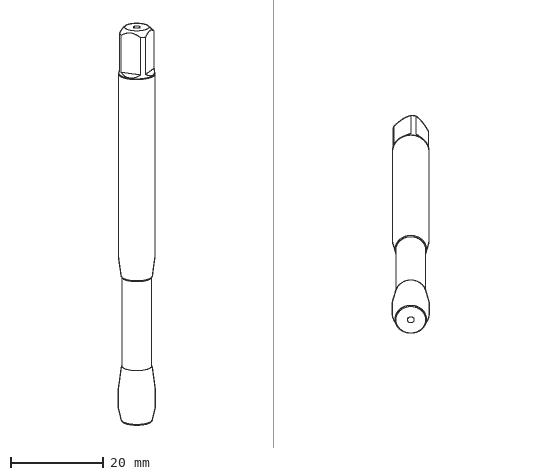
import cadquery as cq

total_length = 90.1
coolant_diameter = 1.4

head_diameter = 8.1
head_end_diameter = 6.85
head_length = 12.5
tip_chamfer_height = 0.3
lead_cone_top = 3.1
back_taper_start = 7.2
back_chamfer_height = 0.45

neck_diameter = 6.5
shank_diameter = 8.0
cone_small_diameter = 6.85
cone_bottom = 33.2
cone_step_height = 0.3
cone_top = 37.6
shank_shoulder = 79.4
square_diameter = 7.75
square_width = 6.2
square_length = 9.7
top_face_diameter = 5.3

neck_radius = neck_diameter / 2
shank_radius = shank_diameter / 2
square_radius = square_diameter / 2
top_face_radius = top_face_diameter / 2
square_bottom = total_length - square_length
shoulder_chamfer = shank_radius - square_radius
top_chamfer = square_radius - top_face_radius


def revolve_profile(points):
    """Solid of revolution about Z from (radius, height) points of its half outline."""
    return cq.Workplane("XZ").polyline(points).close().revolve(360, (0, 0, 0), (0, 1, 0))


def coolant_hole():
    """Axial bore running through both bodies."""
    return cq.Workplane("XY").circle(coolant_diameter / 2).extrude(total_length)


def square_envelope():
    """Square drive widening at 45 degrees below its flats to clear the shank."""
    runout = shank_radius - square_width / 2
    runout_bottom = square_bottom - runout
    drive = (
        cq.Workplane("XY").workplane(offset=square_bottom)
        .rect(square_width, square_width).extrude(square_length)
    )
    flare = (
        cq.Workplane("XY").workplane(offset=runout_bottom)
        .rect(shank_diameter, shank_diameter)
        .workplane(offset=runout).rect(square_width, square_width).loft(ruled=True)
    )
    lower_part = (
        cq.Workplane("XY").rect(shank_diameter, shank_diameter).extrude(runout_bottom)
    )
    return lower_part.union(flare).union(drive)


def make_head():
    end_radius = head_end_diameter / 2
    head_radius = head_diameter / 2
    blank = revolve_profile([
        (0, 0),
        (neck_radius, 0),
        (end_radius, tip_chamfer_height),
        (head_radius, lead_cone_top),
        (head_radius, back_taper_start),
        (end_radius, head_length - back_chamfer_height),
        (neck_radius, head_length),
        (0, head_length),
    ])
    return blank.cut(coolant_hole())


def make_shank():
    blank = revolve_profile([
        (0, head_length),
        (neck_radius, head_length),
        (neck_radius, cone_bottom - cone_step_height),
        (cone_small_diameter / 2, cone_bottom),
        (shank_radius, cone_top),
        (shank_radius, shank_shoulder),
        (square_radius, shank_shoulder + shoulder_chamfer),
        (square_radius, total_length - top_chamfer),
        (top_face_radius, total_length),
        (0, total_length),
    ])
    return blank.intersect(square_envelope()).cut(coolant_hole())


head = make_head()
shank = make_shank()

result = cq.Compound.makeCompound([head.val(), shank.val()])